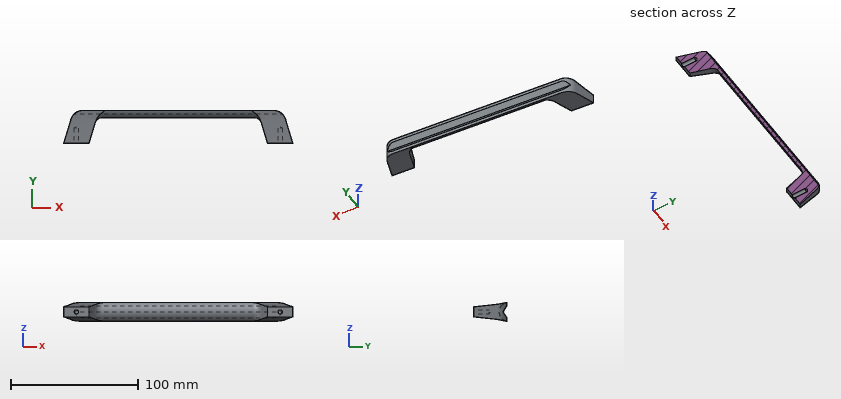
import cadquery as cq
import math

length = 180.0
depth = 26.0
width = 15.0
back_y = depth / 2
base_y = -depth / 2

foot_length = 20.0
foot_width = 8.0
lean_angle = math.radians(16.9)
corner_radius = 10.0
inward_shift = depth * math.tan(lean_angle)

foot_slope = 0.11
back_slope = 0.22
flare_y = back_y - corner_radius * (1 - math.sin(lean_angle))
flare_half_width = foot_width / 2 + foot_slope * (flare_y - base_y)

grip_thickness = 6.0
groove_width = 9.3
groove_depth = 2.9
joint_x = length / 2 - foot_length - inward_shift * (1 - grip_thickness / depth)
grip_end_x = joint_x + corner_radius
blend_radius = 5.0

hole_diameter = 3.3
hole_depth = 12.0
drill_point_angle = math.radians(118)
hole_x = (length - foot_length) / 2


def leg_outline():
    """Left leg seen along Z, with the outer back corner rounded."""
    foot_outer_x = -length / 2
    outline = (
        cq.Workplane("XY")
        .polyline([
            (foot_outer_x, base_y),
            (foot_outer_x + foot_length, base_y),
            (foot_outer_x + foot_length + inward_shift, back_y),
            (foot_outer_x + inward_shift, back_y),
        ])
        .close()
        .extrude(width, both=True)
    )
    outer_corner = cq.selectors.NearestToPointSelector((foot_outer_x + inward_shift, back_y, 0))
    return outline.edges("|Z").edges(outer_corner).fillet(corner_radius)


def side_envelope():
    """Widest section along X: narrow at the foot, flaring to the full width at the back."""
    upper_half = (
        cq.Workplane("YZ")
        .moveTo(back_y, 0)
        .lineTo(base_y, 0)
        .lineTo(base_y, foot_width / 2)
        .spline(
            [(flare_y, flare_half_width), (back_y, width / 2)],
            tangents=[(1, foot_slope), (1, back_slope)],
            includeCurrent=True,
        )
        .close()
        .extrude(length / 2, both=True)
    )
    return upper_half.union(upper_half.mirror("XY"))


def grip():
    """Bar between the legs with a circular-arc front."""
    return (
        cq.Workplane("YZ")
        .moveTo(back_y, -width / 2)
        .threePointArc((back_y - grip_thickness, 0), (back_y, width / 2))
        .close()
        .extrude(grip_end_x, both=True)
    )


def screw_hole(x):
    """Drilled hole with a conical bottom, entering the mounting face along +Y."""
    radius = hole_diameter / 2
    tip_length = radius / math.tan(drill_point_angle / 2)
    return (
        cq.Workplane("XY")
        .moveTo(x, base_y)
        .lineTo(x + radius, base_y)
        .lineTo(x + radius, base_y + hole_depth)
        .lineTo(x, base_y + hole_depth + tip_length)
        .close()
        .revolve(360, (x, base_y, 0), (x, back_y, 0))
    )


def back_groove():
    """V groove along the whole back."""
    return (
        cq.Workplane("YZ")
        .polyline([
            (back_y, -groove_width / 2),
            (back_y - groove_depth, 0),
            (back_y, groove_width / 2),
        ])
        .close()
        .extrude(length / 2, both=True)
    )


def blended_body():
    """Grip and legs joined by a rolling-ball blend, made with oversize legs so the blend is full width."""
    left_leg = leg_outline()
    body = grip().union(left_leg).union(left_leg.mirror("YZ"))
    for side in (-1, 1):
        joint = (side * joint_x, back_y - grip_thickness, 0)
        body = body.edges(cq.selectors.NearestToPointSelector(joint)).fillet(blend_radius)
    return body


result = blended_body().intersect(side_envelope()).cut(back_groove())
for side in (-1, 1):
    result = result.cut(screw_hole(side * hole_x))